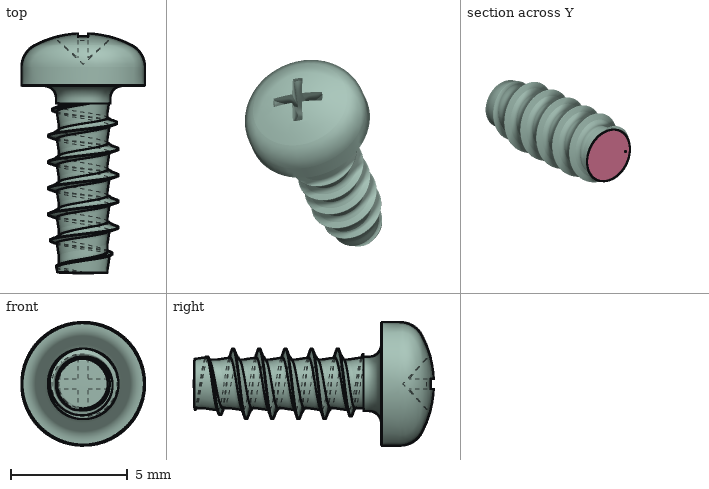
import cadquery as cq
import math

overall_length = 10.28

head_radius = 2.65
head_height = 2.27
dome_radius = 4.42
shoulder_radius = 1.08
rim_chamfer = 0.05

recess_radius = 1.09
recess_depth = 1.34
recess_wall_depth = 0.33
wing_width = 0.43

lost_crown = dome_radius - math.sqrt(dome_radius**2 - wing_width**2 / 2)
length = overall_length + lost_crown

neck_radius = 1.17
neck_fillet = 0.49
neck_end = 3.01
core_radius = 1.05
tip_rim_radius = 0.99
tip_cone_height = 0.02
tip_bevel_slope = 0.3
tip_rim = length - tip_cone_height

pitch = 1.12
crest_radius = 1.51
crest_width = 0.03
faded_crest_radius = 1.17
inner_radius = 0.62
foot_radius = 1.04
foot_offset = 0.26
kink_radius = 1.26
kink_offset = 0.1
step_radius = 1.13
tip_flank_offset = 0.13
ramp_length = 0.61
ramp_end_radius = 1.04
full_thread_start = 4.12
lead_in_turns = 1.5
full_turns = 4
lead_out_turns = 1
run_out_turns = 1
points_per_turn = 24

lead_in_start = full_thread_start - lead_in_turns * pitch
full_thread_end = full_thread_start + full_turns * pitch
lead_out_end = full_thread_end + lead_out_turns * pitch
run_out_end = lead_out_end + run_out_turns * pitch


def make_body():
    """Head, neck and plain core as one revolved outline (radius, z)."""
    shoulder_x = head_radius - shoulder_radius
    tilt = math.asin(shoulder_x / (dome_radius - shoulder_radius))
    shoulder_z = dome_radius - (dome_radius - shoulder_radius) * math.cos(tilt)

    def dome_point(angle):
        return (dome_radius * math.sin(angle), dome_radius * (1 - math.cos(angle)))

    shoulder_angle = (tilt + math.pi / 2) / 2
    shoulder_middle = (
        shoulder_x + shoulder_radius * math.sin(shoulder_angle),
        shoulder_z - shoulder_radius * math.cos(shoulder_angle),
    )
    fillet_offset = neck_fillet * (1 - math.sqrt(0.5))
    outline = (
        cq.Workplane("XZ")
        .moveTo(0, 0)
        .threePointArc(dome_point(tilt / 2), dome_point(tilt))
        .threePointArc(shoulder_middle, (head_radius, shoulder_z))
        .lineTo(head_radius, head_height - rim_chamfer)
        .lineTo(head_radius - rim_chamfer, head_height)
        .lineTo(neck_radius + neck_fillet, head_height)
        .threePointArc(
            (neck_radius + fillet_offset, head_height + fillet_offset),
            (neck_radius, head_height + neck_fillet),
        )
        .lineTo(neck_radius, neck_end)
        .lineTo(core_radius, neck_end)
        .lineTo(core_radius, length)
        .lineTo(0, length)
        .close()
    )
    return outline.revolve(360, (0, 0), (0, 1))


def make_recess():
    """Cross of two wings whose ends drop straight, then slope inwards to a point at the bottom."""
    span = 2 * recess_radius
    wings = cq.Workplane("XY").rect(span, wing_width).extrude(recess_depth)
    wings = wings.union(cq.Workplane("XY").rect(wing_width, span).extrude(recess_depth))
    point = (
        cq.Workplane("XZ")
        .polyline([(0, 0), (recess_radius, 0), (recess_radius, recess_wall_depth), (0, recess_depth)])
        .close()
        .revolve(360, (0, 0), (0, 1))
    )
    return wings.intersect(point)


def crest_radius_at(z):
    """The crest rises out of the neck, runs level and sinks again towards the tip."""
    height = crest_radius - faded_crest_radius
    if z < full_thread_start:
        return faded_crest_radius + height * (z - lead_in_start) / (full_thread_start - lead_in_start)
    if z > full_thread_end:
        sunk = min(1, (z - full_thread_end) / (lead_out_end - full_thread_end))
        return crest_radius - height * sunk
    return crest_radius


def thread_section(z):
    """Corners (offset along the axis, radius) of the thread ridge whose crest is at z."""
    crest = crest_radius_at(z)
    sunk = crest_radius - crest
    flank_share = (crest - step_radius) / (crest_radius - step_radius)
    step_offset = crest_width / 2 + (tip_flank_offset - crest_width / 2) * flank_share
    ramp_slope = (step_radius - ramp_end_radius) / ramp_length
    ramp_end = tip_flank_offset + ramp_length
    return [
        (-foot_offset, inner_radius),
        (-foot_offset, foot_radius - sunk),
        (-kink_offset, kink_radius - sunk),
        (-crest_width / 2, crest),
        (crest_width / 2, crest),
        (step_offset, step_radius + ramp_slope * (tip_flank_offset - step_offset)),
        (ramp_end, ramp_end_radius),
        (ramp_end, inner_radius),
    ]


def corner_point(corner, z):
    """Position of one section corner; the crest passes the +Y side at full_thread_start."""
    offset, radius = thread_section(z)[corner]
    angle = math.pi / 2 + 2 * math.pi * (z - full_thread_start) / pitch
    return cq.Vector(radius * math.cos(angle), radius * math.sin(angle), z + offset)


def thread_stretch(start, end):
    """Helical faces of the thread between two crest positions."""
    steps = round(points_per_turn * (end - start) / pitch)
    stations = [start + (end - start) * step / steps for step in range(steps + 1)]
    corners = range(len(thread_section(start)))
    curves = [cq.Edge.makeSpline([corner_point(c, z) for z in stations]) for c in corners]
    return [cq.Face.makeRuledSurface(curves[c - 1], curves[c]) for c in corners]


def thread_cap(z):
    """Flat end face of the thread."""
    corners = range(len(thread_section(z)))
    return cq.Face.makeFromWires(cq.Wire.makePolygon([corner_point(c, z) for c in corners], close=True))


def make_thread():
    """Thread ridge with its ramped root, starting square at the end of the neck."""
    faces = [thread_cap(lead_in_start), thread_cap(run_out_end)]
    ends = [lead_in_start, full_thread_start, full_thread_end, lead_out_end, run_out_end]
    for start, end in zip(ends, ends[1:]):
        faces += thread_stretch(start, end)
    ridge = cq.Solid.makeSolid(cq.Shell.makeShell(faces)).fix()
    room = cq.Workplane("XY", origin=(0, 0, neck_end)).circle(head_radius).extrude(length)
    return room.intersect(cq.Workplane(ridge))


def make_envelope():
    """Space the screw fits in: a cylinder ending in a narrow bevel and a very flat cone at the tip."""
    bevel_height = tip_bevel_slope * (head_radius - tip_rim_radius)
    outline = [
        (0, 0),
        (head_radius, 0),
        (head_radius, tip_rim - bevel_height),
        (tip_rim_radius, tip_rim),
        (0, length),
    ]
    return cq.Workplane("XZ").polyline(outline).close().revolve(360, (0, 0), (0, 1))


screw = make_body().union(make_thread()).intersect(make_envelope()).cut(make_recess())
result = screw.rotate((0, 0, 0), (1, 0, 0), 90).solids()